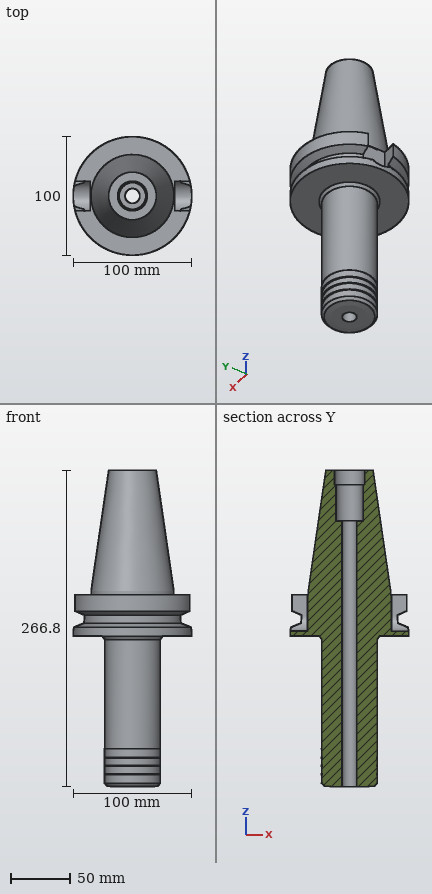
import cadquery as cq

total_height = 266.8
gauge_z = 165.0
flange_top_z = 162.0
flange_bottom_z = 127.0

gauge_radius = 35.0
taper_ratio = 7 / 24
taper_top_radius = gauge_radius - (total_height - gauge_z) * taper_ratio / 2

flange_diameter = 100.0
flange_radius = flange_diameter / 2
lower_rim_height = 7.5
groove_side_height = 3.5
groove_floor_height = 6.7
groove_floor_radius = 42.5
groove_start_z = flange_bottom_z + lower_rim_height
groove_floor_start_z = groove_start_z + groove_side_height
groove_floor_end_z = groove_floor_start_z + groove_floor_height
groove_end_z = groove_floor_end_z + groove_side_height

slot_width = 25.0
slot_depth_z = 30.7
slot_floor_x = 35.5

body_radius = 23.5
collar_radius = 25.5
collar_height = 3.0

nose_step = 0.13
nose_radius = body_radius + nose_step
nose_length = 32.0
nose_chamfer_height = 3.2
nose_end_cone_height = 0.5
nose_end_radius = 21.3
nose_face_radius = 15.5

ring_heights = (10.7, 18.0, 24.5)
ring_width = 0.8
ring_depth = 0.3

entry_bore_radius = 12.5
entry_bore_depth = 12.3
stud_bore_radius = 11.2
stud_bore_depth = 42.7
through_radius = 6.1


def make_body():
    """Revolve the taper, flange, body and nose as one outline."""
    outline = [
        (0, 0),
        (nose_face_radius, 0),
        (nose_end_radius, nose_end_cone_height),
        (nose_radius, nose_chamfer_height),
        (nose_radius, nose_length),
        (body_radius, nose_length),
        (body_radius, flange_bottom_z - collar_height),
        (collar_radius, flange_bottom_z),
        (flange_radius, flange_bottom_z),
        (flange_radius, groove_start_z),
        (groove_floor_radius, groove_floor_start_z),
        (groove_floor_radius, groove_floor_end_z),
        (flange_radius, groove_end_z),
        (flange_radius, flange_top_z),
        (gauge_radius, flange_top_z),
        (gauge_radius, gauge_z),
        (taper_top_radius, total_height),
        (0, total_height),
    ]
    return cq.Workplane("XZ").polyline(outline).close().revolve(360, (0, 0), (0, 1))


def make_drive_slot(side):
    """Round-bottomed slot; side is +1 for +X and -1 for -X."""
    half_width = slot_width / 2
    bottom_z = flange_top_z - slot_depth_z
    arc_center_z = bottom_z + half_width
    return (
        cq.Workplane("YZ", origin=(side * slot_floor_x, 0, 0))
        .moveTo(-half_width, flange_top_z)
        .lineTo(-half_width, arc_center_z)
        .threePointArc((0, bottom_z), (half_width, arc_center_z))
        .lineTo(half_width, flange_top_z)
        .close()
        .extrude(side * flange_radius)
    )


def make_ring(center_z):
    """Thin annular cutter for one ring on the nose."""
    return (
        cq.Workplane("XY", origin=(0, 0, center_z - ring_width / 2))
        .circle(flange_radius)
        .circle(nose_radius - ring_depth)
        .extrude(ring_width)
    )


def make_bore(radius, depth):
    """Cylinder reaching down from the top face."""
    return cq.Workplane("XY", origin=(0, 0, total_height)).circle(radius).extrude(-depth)


result = make_body()

for slot_side in (-1, 1):
    result = result.cut(make_drive_slot(slot_side))

for ring_z in ring_heights:
    result = result.cut(make_ring(ring_z))

result = result.cut(make_bore(entry_bore_radius, entry_bore_depth))
result = result.cut(make_bore(stud_bore_radius, stud_bore_depth))
result = result.cut(make_bore(through_radius, total_height))